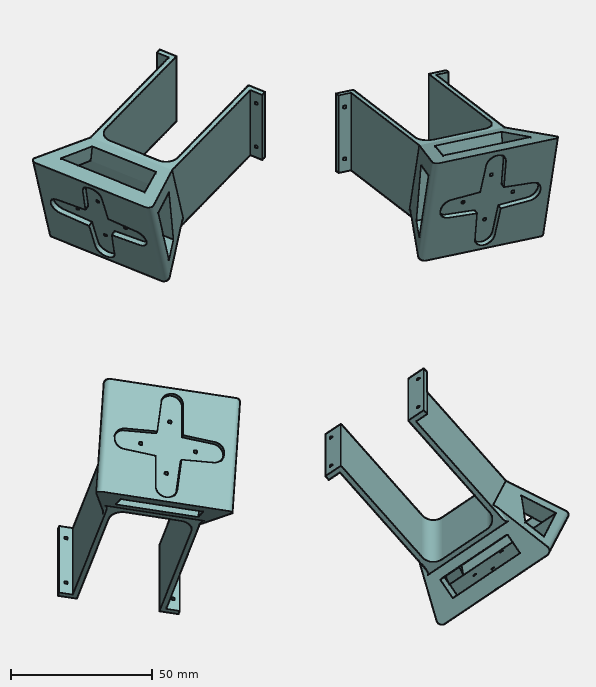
import cadquery as cq
import math

total_length = 81.6
head_height = 42.3
tilt = 15.0

wall = 2.0
inner_width = 30.0
outer_width = inner_width + 2 * wall
bracket_height = 30.0
bracket_bottom = 7.1
bracket_top = bracket_bottom + bracket_height
bracket_front = 27.6
inner_corner_radius = 5.0
flange_reach = 5.0
flange_hole_inset = 5.0
small_hole_diameter = 1.2

front_width = 51.3
front_edge_radius = 2.0
underside_fillet_radius = 1.0

cavity_outline = [(21.7, 32.2), (7.4, 34.7), (14.45, 8.0), (21.7, 11.1)]
top_window_back_half_width = 13.3
top_window_front_half_width = 17.55
bottom_window_half_width = 15.0

cross_drop = 0.25
cross_reach = 20.0
cross_tip_radius = 4.0
cross_root_half_width = 4.7
cross_depth = 2.0
cross_hole_offset = 9.95

lean = math.tan(math.radians(tilt))
front_bottom_y = head_height * lean
bottom_slope = bracket_bottom / (bracket_front - front_bottom_y)
rear_lean_reach = bracket_front + lean * bracket_top
rear_bottom_y = (rear_lean_reach + lean * bottom_slope * front_bottom_y) / (1 + lean * bottom_slope)
rear_bottom_z = bottom_slope * (rear_bottom_y - front_bottom_y)
head_depth = (bracket_front - (head_height - bracket_top) * lean) * math.cos(math.radians(tilt))

face_normal = cq.Vector(0, -math.cos(math.radians(tilt)), -math.sin(math.radians(tilt)))
face_plane = cq.Plane(origin=(0, front_bottom_y / 2, head_height / 2), xDir=(1, 0, 0), normal=face_normal)
cross_center = face_plane.toWorldCoords((0, -cross_drop, 0))
cross_plane = cq.Plane(origin=cross_center, xDir=(1, 0, 0), normal=face_normal)


def box_between(x0, x1, y0, y1):
    """Block of bracket height with the given X and Y limits."""
    size = (x1 - x0, y1 - y0, bracket_height)
    return cq.Workplane("XY").box(*size, centered=False).translate((x0, y0, bracket_bottom))


def head_profile():
    """Side profile of the head at full width."""
    profile = [
        (0, head_height),
        (front_bottom_y, 0),
        (rear_bottom_y, rear_bottom_z),
        (bracket_front, bracket_top),
    ]
    return cq.Workplane("YZ").polyline(profile).close().extrude(front_width / 2, both=True)


def head_taper():
    """Trapezoid swept along the front face, narrowing to the bracket, with rounded front edges."""
    taper_plane = cq.Plane(origin=face_plane.origin, xDir=(1, 0, 0), normal=face_plane.yDir)
    taper = (
        cq.Workplane(taper_plane)
        .polyline([
            (-front_width / 2, 0),
            (front_width / 2, 0),
            (outer_width / 2, head_depth),
            (-outer_width / 2, head_depth),
        ])
        .close()
        .extrude(head_height, both=True)
    )
    front_edges = cq.selectors.ParallelDirSelector(face_plane.yDir)
    return taper.edges(front_edges).edges("<X or >X").fillet(front_edge_radius)


def underside_fillets(taper):
    """Concave fillets along the bracket's sides under the head, trimmed to the taper and bracket height."""
    radius = underside_fillet_radius
    along_underside = cq.Vector(0, 1, bottom_slope)
    plane = cq.Plane(origin=(0, front_bottom_y, 0), xDir=(1, 0, 0), normal=along_underside)
    corner = outer_width / 2
    bulge = radius * (1 - math.sqrt(0.5))
    strip = (
        cq.Workplane(plane)
        .moveTo(corner, 0)
        .lineTo(corner + radius, 0)
        .threePointArc((corner + bulge, bulge), (corner, radius))
        .close()
        .extrude(total_length / 2)
    )
    limits = box_between(-front_width, front_width, bracket_front, total_length)
    return strip.union(strip.mirror("YZ")).intersect(taper).intersect(limits)


def bracket():
    """Outer block of the U with a flange on the rear end of each arm."""
    half = outer_width / 2
    block = box_between(-half, half, bracket_front, total_length)
    flange_half = half + flange_reach
    return block.union(box_between(-flange_half, flange_half, total_length - wall, total_length))


def bracket_opening():
    """Space between the arms, rounded at its front corners."""
    opening = box_between(-inner_width / 2, inner_width / 2, bracket_front + wall, total_length)
    return opening.edges("|Z and <Y").fillet(inner_corner_radius)


def flange_holes():
    hole_x = outer_width / 2 + flange_reach / 2
    hole_z = bracket_height / 2 - flange_hole_inset
    points = [(x, z) for x in (-hole_x, hole_x) for z in (-hole_z, hole_z)]
    plane = cq.Plane(
        origin=(0, total_length, bracket_bottom + bracket_height / 2), xDir=(1, 0, 0), normal=(0, -1, 0)
    )
    return cq.Workplane(plane).pushPoints(points).circle(small_hole_diameter / 2).extrude(wall)


def cavity():
    """Opening through both sides of the head."""
    return cq.Workplane("YZ").polyline(cavity_outline).close().extrude(front_width, both=True)


def window(front_point, back_point, front_half_width, back_half_width, side):
    """Four-sided opening from the cavity edge outwards, square to the top (side=1) or bottom (side=-1)."""
    front = cq.Vector(0, *front_point)
    along = cq.Vector(0, *back_point) - front
    plane = cq.Plane(origin=front, xDir=(1, 0, 0), normal=cq.Vector(1, 0, 0).cross(along))
    return (
        cq.Workplane(plane)
        .polyline([
            (-front_half_width, 0),
            (front_half_width, 0),
            (back_half_width, along.Length),
            (-back_half_width, along.Length),
        ])
        .close()
        .extrude(side * head_height / 2)
    )


def cross_arm(angle):
    """Pair of opposite arms of the cross, tapering to round tips."""
    tip_center = cross_reach - cross_tip_radius
    root = cross_root_half_width
    tip = cross_tip_radius
    return (
        cq.Workplane(cross_plane)
        .transformed(rotate=(0, 0, angle))
        .moveTo(-tip_center, -tip)
        .lineTo(-root, -root)
        .lineTo(root, -root)
        .lineTo(tip_center, -tip)
        .threePointArc((cross_reach, 0), (tip_center, tip))
        .lineTo(root, root)
        .lineTo(-root, root)
        .lineTo(-tip_center, tip)
        .threePointArc((-cross_reach, 0), (-tip_center, -tip))
        .close()
        .extrude(-cross_depth)
    )


def cross_holes():
    """Four screw holes from the recess through to the cavity."""
    return (
        cq.Workplane(cross_plane)
        .polarArray(cross_hole_offset, 0, 360, 4)
        .circle(small_hole_diameter / 2)
        .extrude(-head_depth / 3)
    )


top_back, top_front, bottom_front, bottom_back = cavity_outline

taper = head_taper()

result = (
    head_profile()
    .intersect(taper)
    .union(bracket())
    .union(underside_fillets(taper))
    .cut(bracket_opening())
    .cut(flange_holes())
    .cut(cavity())
    .cut(window(top_front, top_back, top_window_front_half_width, top_window_back_half_width, 1))
    .cut(window(bottom_front, bottom_back, bottom_window_half_width, bottom_window_half_width, -1))
    .cut(cross_arm(0))
    .cut(cross_arm(90))
    .cut(cross_holes())
)